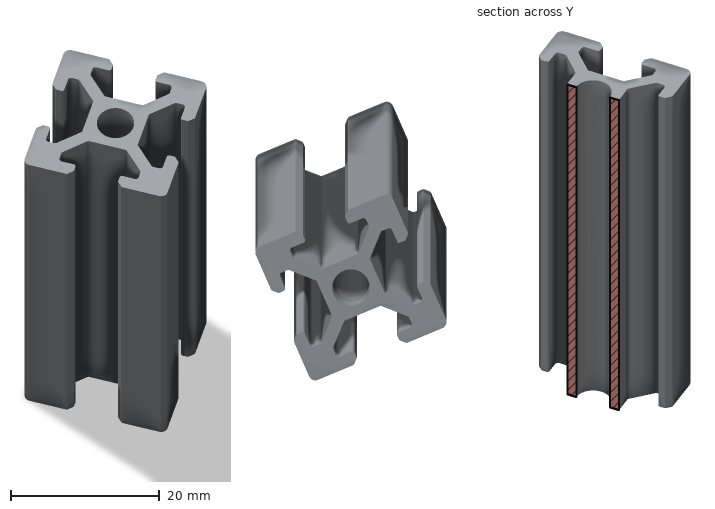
import cadquery as cq

length = 53.3
width = 20.0
half_width = width / 2
corner_radius = 0.9

slot_opening = 6.2
lip_thickness = 1.8
cavity_width = 11.1
lip_chamfer = 0.75
lip_inner_radius = 0.3
cavity_radius = 0.4

core_width = 7.8
bore_diameter = 5.0
web_offset = 1.2


def make_slot_cutter():
    """T-slot on the +Y side, running the full length."""
    opening = slot_opening / 2
    cavity = cavity_width / 2
    floor = core_width / 2
    ceiling = half_width - lip_thickness
    floor_half = floor - web_offset
    shoulder = cavity + web_offset
    right_half = [
        (floor_half, floor),
        (cavity, shoulder),
        (cavity, ceiling),
        (opening, ceiling),
        (opening, half_width - lip_chamfer),
        (opening + lip_chamfer, half_width),
    ]
    left_half = [(-x, y) for x, y in reversed(right_half)]
    cutter = cq.Workplane("XY").polyline(right_half + left_half).close().extrude(length)

    def edges_at(x, y):
        tolerance = 0.05
        low = (x - tolerance, y - tolerance, -tolerance)
        high = (x + tolerance, y + tolerance, length + tolerance)
        return cq.selectors.BoxSelector(low, high, boundingbox=True)

    rounded_corners = [
        (cavity, shoulder, cavity_radius),
        (cavity, ceiling, cavity_radius),
        (opening, ceiling, lip_inner_radius),
    ]
    for side in (-1, 1):
        for x, y, radius in rounded_corners:
            cutter = cutter.edges(edges_at(side * x, y)).fillet(radius)
    return cutter


result = cq.Workplane("XY").rect(width, width).extrude(length)
result = result.edges("|Z").fillet(corner_radius)

slot_cutter = make_slot_cutter()
for quarter_turn in range(4):
    result = result.cut(slot_cutter.rotate((0, 0, 0), (0, 0, 1), 90 * quarter_turn))

result = result.faces(">Z").workplane(origin=(0, 0, length)).hole(bore_diameter)